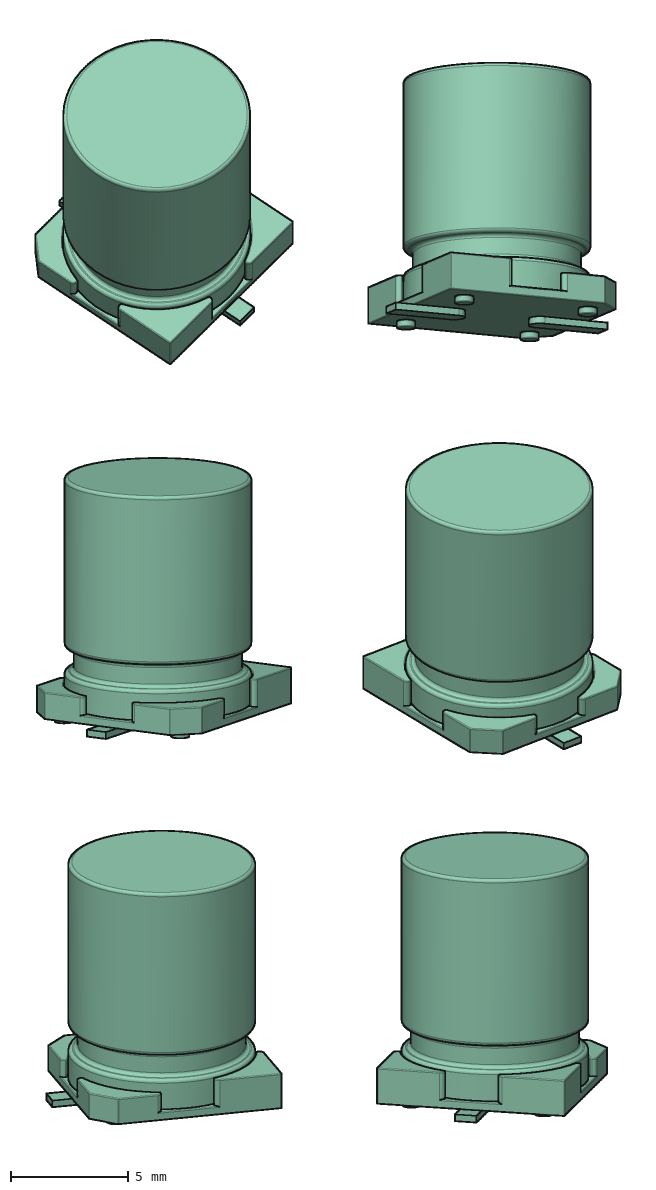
import cadquery as cq

seat_width = 8.3
seat_bottom = 0.3
seat_floor = 0.69
low_block_top = 1.49
high_block_top = 1.9
corner_cut = 1.01
edge_radius = 0.04
notch_width = 2.37
block_end_radius = 0.19
pocket_edge_radius = 0.06
pocket_radius = 4.04

can_height = 10.5
can_radius = 4.0
can_top_radius = 0.15
neck_radius = 3.6
groove_bottom = 2.05
groove_top = 3.11
groove_edge_radius = 0.17

lead_reach = 5.0
lead_tip = 1.55
lead_width = 0.96
pin_radius = 0.4
pin_offset = 2.92

half_width = seat_width / 2
half_notch = notch_width / 2
select_margin = 0.01


def box_around(reach, low, high):
    """Selector for edges and faces with centres inside a square box on the Z axis."""
    return cq.selectors.BoxSelector((-reach, -reach, low), (reach, reach, high))


def near_line(x, y):
    """Selector for an upright edge above the pocket floor at (x, y)."""
    return cq.selectors.BoxSelector(
        (x - select_margin, y - select_margin, seat_floor),
        (x + select_margin, y + select_margin, high_block_top),
    )


def plate_blank():
    """Square block with its two -X corners cut and its upright and bottom edges eased."""
    blank = cq.Workplane("XY", origin=(0, 0, seat_bottom))
    blank = blank.rect(seat_width, seat_width).extrude(high_block_top - seat_bottom)
    blank = blank.edges("|Z and <X").chamfer(corner_cut)
    blank = blank.edges("|Z").fillet(edge_radius)
    return blank.faces("<Z").edges().fillet(edge_radius)


def seat_recess():
    """Round pocket for the can, crossed by the four side notches."""
    depth = high_block_top - seat_floor
    floor = cq.Workplane("XY", origin=(0, 0, seat_floor))
    return (
        floor.circle(pocket_radius).extrude(depth)
        .union(floor.rect(notch_width, seat_width).extrude(depth))
        .union(floor.rect(seat_width, notch_width).extrude(depth))
    )


def seat():
    """Plate with four corner blocks around the can; the two -X blocks are lower."""
    lowered_side = cq.Workplane("XY").box(
        half_width, seat_width, high_block_top - low_block_top, centered=(False, True, False)
    )
    lowered_side = lowered_side.translate((-half_width, 0, low_block_top))
    body = plate_blank().cut(seat_recess()).cut(lowered_side)

    pocket_corner = (pocket_radius**2 - half_notch**2) ** 0.5
    for distance, radius in ((half_width, block_end_radius), (pocket_corner, pocket_edge_radius)):
        for side_x in (-1, 1):
            for side_y in (-1, 1):
                along_y = near_line(side_x * half_notch, side_y * distance)
                along_x = near_line(side_x * distance, side_y * half_notch)
                body = body.edges("|Z").edges(along_y + along_x).fillet(radius)

    for top in (low_block_top, high_block_top):
        at_top = box_around(seat_width, top - select_margin, top + select_margin)
        body = body.faces("+Z").faces(at_top).edges().fillet(edge_radius)

    at_floor = box_around(seat_width, seat_floor - select_margin, seat_floor + select_margin)
    inside = box_around(half_width - select_margin, 0, high_block_top)
    return body.edges("|X or |Y").edges(at_floor - inside).fillet(edge_radius)


def can():
    """Turned can with a rounded crimp groove near its foot."""
    r = groove_edge_radius
    top_r = can_top_radius
    return (
        cq.Workplane("XZ")
        .moveTo(0, seat_floor)
        .lineTo(can_radius, seat_floor)
        .lineTo(can_radius, groove_bottom - r)
        .radiusArc((can_radius - r, groove_bottom), -r)
        .lineTo(neck_radius + r, groove_bottom)
        .radiusArc((neck_radius, groove_bottom + r), r)
        .lineTo(neck_radius, groove_top - r)
        .radiusArc((neck_radius + r, groove_top), r)
        .lineTo(can_radius - r, groove_top)
        .radiusArc((can_radius, groove_top + r), -r)
        .lineTo(can_radius, can_height - top_r)
        .radiusArc((can_radius - top_r, can_height), -top_r)
        .lineTo(0, can_height)
        .close()
        .revolve(360, (0, 0, 0), (0, 1, 0))
    )


def lead(side):
    """Flat lead with a half-round inner end; side is -1 or +1 along X."""
    half_lead = lead_width / 2
    round_center = side * (lead_tip + half_lead)
    return (
        cq.Workplane("XY")
        .moveTo(side * lead_reach, -half_lead)
        .lineTo(round_center, -half_lead)
        .threePointArc((side * lead_tip, 0), (round_center, half_lead))
        .lineTo(side * lead_reach, half_lead)
        .close()
        .extrude(seat_bottom)
    )


def pins():
    """Four round standoff pins with eased ends."""
    corners = cq.Workplane("XY").rect(2 * pin_offset, 2 * pin_offset, forConstruction=True).vertices()
    return corners.circle(pin_radius).extrude(seat_bottom).edges("%CIRCLE").fillet(edge_radius)


result = seat().union(can()).union(lead(-1)).union(lead(1)).union(pins())